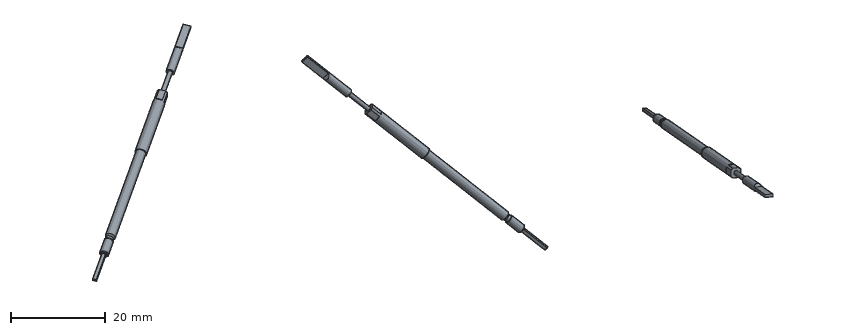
import cadquery as cq

overall_length = 69.7
tip_end = overall_length / 2
pin_end = -overall_length / 2

head_diameter = 1.85
blade_thickness = 0.65
blade_length = 6.05
head_and_blade_length = 12.7
head_start = tip_end - head_and_blade_length

stem_diameter = 1.0
stem_length = 5.8
stem_start = head_start - stem_length

square_across_flats = 2.2
square_length = 2.5
square_start = stem_start - square_length

collar_diameter = 2.6
collar_length = 13.8
collar_start = square_start - collar_length
body_diameter = 2.2
body_length = 23.0
body_start = collar_start - body_length
taper_length = 0.4
neck_diameter = 1.6
neck_length = 0.7

plug_diameter = 2.0
plug_length = 3.8
plug_chamfer = 0.2
plug_end = body_start - taper_length - neck_length
plug_start = plug_end - plug_length

pin_diameter = 0.98
pin_thickness = 0.67
pin_recess_diameter = 0.5


def cylinder(diameter, start, end):
    """Round section along Y between two stations."""
    length = end - start
    return cq.Workplane("XZ", origin=(0, end, 0)).circle(diameter / 2).extrude(length)


def slab(thickness, start, end):
    """Wide plate, centred on Z = 0, used to flatten a round section."""
    length = end - start
    middle = (start + end) / 2
    return cq.Workplane("XY").box(collar_diameter, length, thickness).translate((0, middle, 0))


def make_head():
    """Plunger head cut down to a blade, with 45 degree slopes up to full round."""
    blade_start = tip_end - blade_length
    half_blade = blade_thickness / 2
    half_head = head_diameter / 2
    slope_start = blade_start - (half_head - half_blade)
    side_profile = (
        cq.Workplane("YZ")
        .moveTo(tip_end, -half_blade)
        .lineTo(tip_end, half_blade)
        .lineTo(blade_start, half_blade)
        .lineTo(slope_start, half_head)
        .lineTo(head_start, half_head)
        .lineTo(head_start, -half_head)
        .lineTo(slope_start, -half_head)
        .lineTo(blade_start, -half_blade)
        .close()
        .extrude(half_head, both=True)
    )
    return cylinder(head_diameter, head_start, tip_end).intersect(side_profile)


def make_square():
    """Square section whose corners are rounded to the collar diameter."""
    middle = (square_start + stem_start) / 2
    square = cq.Workplane("XY").box(square_across_flats, square_length, square_across_flats)
    return cylinder(collar_diameter, square_start, stem_start).intersect(
        square.translate((0, middle, 0))
    )


def make_body_and_plug():
    """Slim barrel body, its tapered end, the neck and the plug as one turned shape."""
    neck_start = body_start - taper_length
    return (
        cq.Workplane("XY")
        .moveTo(0, collar_start)
        .lineTo(body_diameter / 2, collar_start)
        .lineTo(body_diameter / 2, body_start)
        .lineTo(neck_diameter / 2, neck_start)
        .lineTo(neck_diameter / 2, plug_end)
        .lineTo(plug_diameter / 2, plug_end)
        .lineTo(plug_diameter / 2, plug_start + plug_chamfer)
        .lineTo(plug_diameter / 2 - plug_chamfer, plug_start)
        .lineTo(0, plug_start)
        .close()
        .revolve(360, (0, 0, 0), (0, 1, 0))
    )


def make_pin():
    """Flattened terminal pin with a 90 degree conical recess in its free end."""
    round_pin = cylinder(pin_diameter, pin_end, plug_start)
    flat_pin = round_pin.intersect(slab(pin_thickness, pin_end, plug_start))
    recess_radius = pin_recess_diameter / 2
    recess = cq.Workplane(
        cq.Solid.makeCone(
            recess_radius, 0, recess_radius, pnt=cq.Vector(0, pin_end, 0), dir=cq.Vector(0, 1, 0)
        )
    )
    return flat_pin.cut(recess)


stem = cylinder(stem_diameter, stem_start, head_start)
collar = cylinder(collar_diameter, collar_start, square_start)

result = (
    make_body_and_plug()
    .union(collar)
    .union(make_square())
    .union(stem)
    .union(make_head())
    .union(make_pin())
)